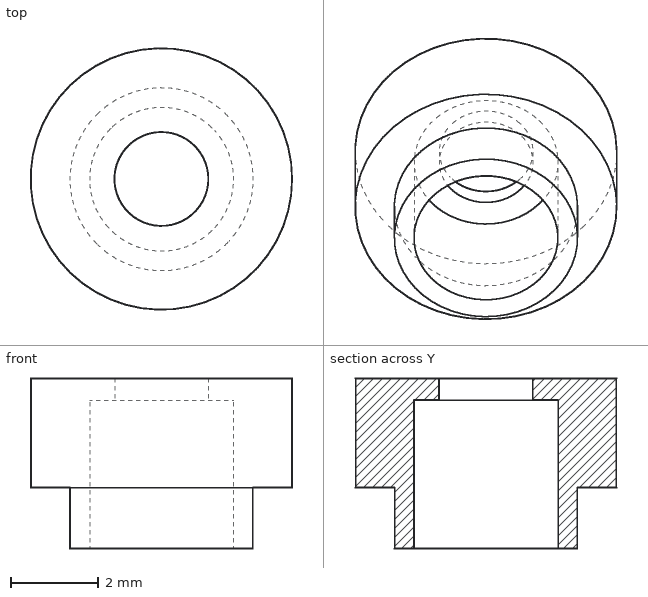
import cadquery as cq

head_diameter = 6.0
neck_diameter = 4.2
bore_diameter = 3.3
mouth_diameter = 2.15
total_height = 3.9
head_height = 2.5
lip_thickness = 0.5

neck_height = total_height - head_height
bore_depth = total_height - lip_thickness

neck = cq.Workplane("XY").circle(neck_diameter / 2).extrude(neck_height)
head = (
    cq.Workplane("XY")
    .workplane(offset=neck_height)
    .circle(head_diameter / 2)
    .extrude(head_height)
)

bore = cq.Workplane("XY").circle(bore_diameter / 2).extrude(bore_depth)
mouth = cq.Workplane("XY").circle(mouth_diameter / 2).extrude(total_height)

result = neck.union(head).cut(bore).cut(mouth)